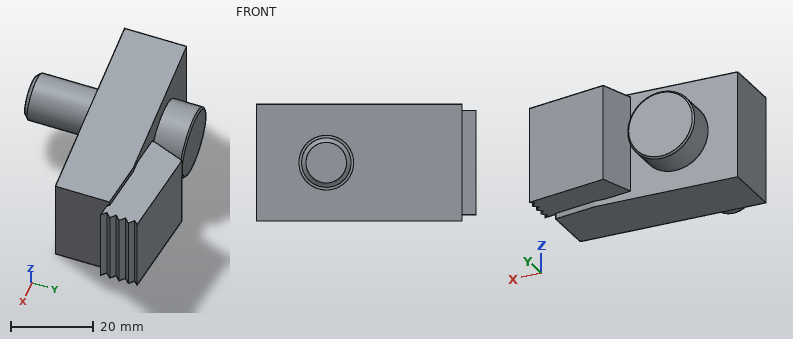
import cadquery as cq
import math

block_length = 50.0
block_depth = 16.0
block_height = 28.4
ramp_start_x = 38.45
ramp_slope = math.tan(math.radians(10))

screw_x = 16.95
shank_diameter = 12.0
shank_projection = 18.0
shank_chamfer = 1.05
head_diameter = 18.0
head_height = 8.0
head_chamfer = 0.45
clearance_diameter = 13.3

overall_length = 53.35
overall_depth = 44.0
jaw_height = 25.4
jaw_left_x = 28.25
jaw_back_slope = math.tan(math.radians(70))
jaw_tip_y = 12.85
tooth_pitch = 2.4
tooth_depth = tooth_pitch / 2
tooth_count = 4


def extrude_centred(points, height):
    return cq.Workplane("XY").polyline(points).close().extrude(height / 2, both=True)


def cylinder_along_y(diameter, start_y, end_y):
    base = cq.Workplane("XZ", origin=(screw_x, start_y, 0))
    return base.circle(diameter / 2).extrude(start_y - end_y)


def make_block():
    ramp_drop = (block_length - ramp_start_x) * ramp_slope
    outline = [
        (0, 0),
        (block_length, 0),
        (block_length, block_depth - ramp_drop),
        (ramp_start_x, block_depth),
        (0, block_depth),
    ]
    block = extrude_centred(outline, block_height)
    return block.cut(cylinder_along_y(clearance_diameter, block_depth, 0))


def make_screw():
    head_top = block_depth + head_height
    head = cylinder_along_y(head_diameter, head_top, block_depth)
    head = head.faces(">Y").chamfer(head_chamfer)
    shank = cylinder_along_y(shank_diameter, block_depth, -shank_projection)
    shank = shank.faces("<Y").chamfer(shank_chamfer)
    return head.union(shank)


def make_jaw():
    left_y = jaw_tip_y + (overall_length - jaw_left_x) * ramp_slope
    top_y = overall_depth - shank_projection
    top_x = jaw_left_x + (top_y - left_y) / jaw_back_slope
    valley_x = overall_length - tooth_depth

    outline = [(jaw_left_x, left_y)]
    for tooth in range(tooth_count):
        tip_y = jaw_tip_y + tooth * tooth_pitch
        outline.append((overall_length, tip_y))
        outline.append((valley_x, tip_y + tooth_pitch / 2))

    last_valley_y = outline[-1][1]
    top_y_above_valley = top_y - (valley_x - top_x) * ramp_slope
    flank_rise = (top_y_above_valley - last_valley_y) / (1 + ramp_slope)
    outline.append((valley_x + flank_rise, last_valley_y + flank_rise))
    outline.append((top_x, top_y))
    return extrude_centred(outline, jaw_height)


result = make_block().union(make_screw()).union(make_jaw())